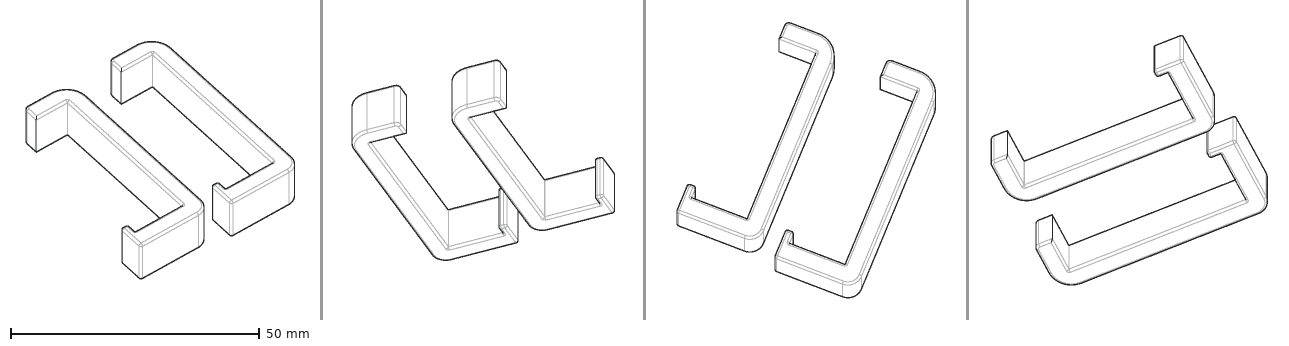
import cadquery as cq

WALL = 4.0
HEIGHT = 10.0
SHORT_LEG = 12.0
LONG_LEG = 17.75
LIP_THICKNESS = 1.75
LIP_REACH = 2.45
LEFT_RADIUS = 5.0
RIGHT_RADIUS = 3.0
TOE_RADIUS = 1.0
EDGE_RADIUS = 0.5
INNER_RADIUS = 0.05

REAR_LENGTH = 47.25
FRONT_LENGTH = 45.45
FRONT_SHIFT_X = 0.2
PITCH_Y = 21.9


def clip_corners(length):
    """Corners of the clip outline as (x, y, radius), left face at X=0 and back face at Y=0."""
    inner_right = length - WALL
    lip_tip = inner_right - LIP_REACH
    lip_top = -LONG_LEG + LIP_THICKNESS
    return [
        (0, 0, LEFT_RADIUS),
        (length, 0, RIGHT_RADIUS),
        (length, -LONG_LEG, EDGE_RADIUS),
        (lip_tip, -LONG_LEG, EDGE_RADIUS),
        (lip_tip, lip_top, EDGE_RADIUS),
        (inner_right, lip_top, INNER_RADIUS),
        (inner_right, -WALL, INNER_RADIUS),
        (WALL, -WALL, INNER_RADIUS),
        (WALL, -SHORT_LEG, 0),
        (0, -SHORT_LEG, TOE_RADIUS),
    ]


def round_upright_edge(body, x, y, radius):
    """Round the vertical edge at the given corner."""
    corner = cq.NearestToPointSelector((x, y, HEIGHT / 2))
    return body.edges("|Z").edges(corner).fillet(radius)


def clip(length):
    """Clip standing on Z=0, with rounded corners and softened top and bottom rims."""
    corners = clip_corners(length)
    outline = [(x, y) for x, y, _ in corners]
    body = cq.Workplane("XY").polyline(outline).close().extrude(HEIGHT)
    for x, y, radius in corners:
        if radius > 0:
            body = round_upright_edge(body, x, y, radius)
    return body.faces("<Z or >Z").edges().fillet(EDGE_RADIUS)


rear_clip = clip(REAR_LENGTH)
front_clip = clip(FRONT_LENGTH).translate((FRONT_SHIFT_X, -PITCH_Y, 0))

result = cq.Compound.makeCompound([rear_clip.val(), front_clip.val()])